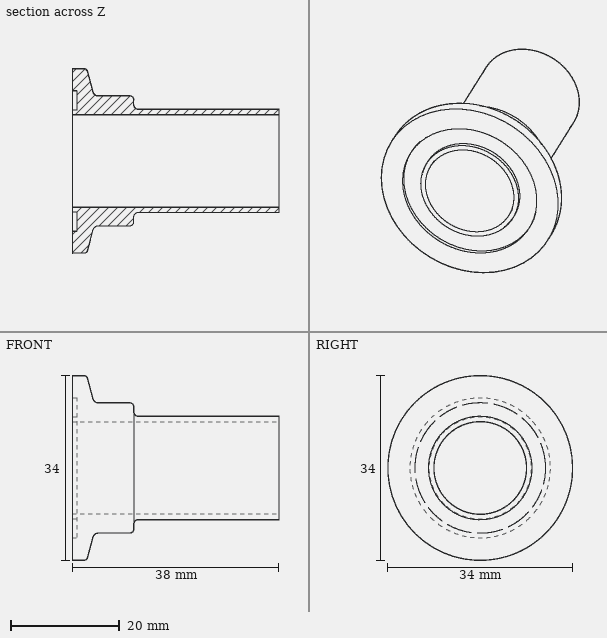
import cadquery as cq
import math

total_length = 38.0

flange_diameter = 34.0
flange_corner_x = 2.65
taper_angle = 15.0
flange_rim_fillet = 0.7
taper_root_fillet = 0.9

hub_diameter = 24.0
hub_end_x = 11.3
hub_edge_fillet = 0.8
tube_root_fillet = 0.8

tube_diameter = 19.05
bore_diameter = 17.0

recess_diameter = 25.8
recess_depth = 0.8
lip_diameter = 18.8

flange_radius = flange_diameter / 2
hub_radius = hub_diameter / 2
tube_radius = tube_diameter / 2
taper_length = (flange_radius - hub_radius) * math.tan(math.radians(taper_angle))
taper_end_x = flange_corner_x + taper_length


def ring_edge(body, x, radius):
    """Circular edge of the body at the given axial position, up to the given radius."""
    reach = 0.01
    box = cq.selectors.BoxSelector(
        (x - reach, -radius - reach, -radius - reach),
        (x + reach, radius + reach, radius + reach),
        boundingbox=True,
    )
    return body.edges("%CIRCLE").edges(box)


def make_outer_body():
    """Revolved outer form with its four rounded corners."""
    body = (
        cq.Workplane("XY")
        .moveTo(0, 0)
        .lineTo(0, flange_radius)
        .lineTo(flange_corner_x, flange_radius)
        .lineTo(taper_end_x, hub_radius)
        .lineTo(hub_end_x, hub_radius)
        .lineTo(hub_end_x, tube_radius)
        .lineTo(total_length, tube_radius)
        .lineTo(total_length, 0)
        .close()
        .revolve(360, (0, 0, 0), (1, 0, 0))
    )
    rounded_corners = [
        (flange_corner_x, flange_radius, flange_rim_fillet),
        (taper_end_x, hub_radius, taper_root_fillet),
        (hub_end_x, tube_radius, tube_root_fillet),
        (hub_end_x, hub_radius, hub_edge_fillet),
    ]
    for x, radius, fillet in rounded_corners:
        body = ring_edge(body, x, radius).fillet(fillet)
    return body


def make_bore():
    """Cylinder for the bore through the full length."""
    return cq.Workplane("YZ").circle(bore_diameter / 2).extrude(total_length)


def make_face_recess():
    """Ring-shaped recess between the flange face and the bore lip."""
    return (
        cq.Workplane("YZ")
        .circle(recess_diameter / 2)
        .circle(lip_diameter / 2)
        .extrude(recess_depth)
    )


result = make_outer_body().cut(make_bore()).cut(make_face_recess())